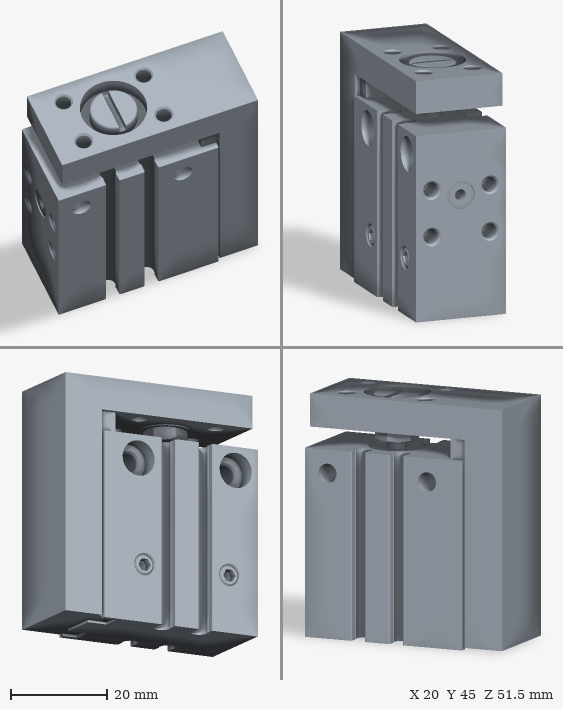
import cadquery as cq
import math


housing_width = 20.0
housing_depth = 36.0
housing_height = 40.0

table_width = 19.2
table_front_y = 1.0
table_back_y = 45.0
table_bottom_z = 0.5
table_top_z = 51.5
plate_thickness = 7.0
plate_bottom_z = table_top_z - plate_thickness
leg_inner_y = 36.4

carriage_width = 17.05
carriage_front_y = 32.7
rail_width = 8.85
rail_back_y = 37.05

rod_y = 16.5
rod_diameter = 4.0
rod_bottom_z = 20.0
rod_recess_diameter = 12.0
rod_recess_depth = 0.25
rod_entry_into_bushing = 3.0
nut_bottom_z = 41.45
nut_across_flats = 8.05
nut_bevel_radial = 0.7
nut_bevel_height = 0.3
bushing_diameter = 10.0
bushing_bottom_z = 44.3
bushing_top_drop = 0.25
bushing_edge_radius = 0.5
bushing_slot_width = 1.5
bushing_slot_depth = 1.6
bushing_recess_diameter = 14.0
bushing_recess_depth = 3.5

tapped_diameter = 3.25
tapped_mouth_diameter = 4.0
front_tapped_depth = 6.0
drill_tip_angle = 118.0
row_spacing = 10.0
front_hole_x = 6.5
front_hole_low_z = 18.0
plate_hole_x = 5.45
plate_hole_spacing_y = 18.0

breather_z = 26.4
breather_diameter = 2.35
breather_recess_diameter = 6.0
breather_recess_depth = 0.3

mount_hole_ys = (5.2, 28.0)
mount_hole_z = 34.95
mount_counterbore_diameter = 7.5
mount_counterbore_depth = 4.4
mount_mouth_diameter = 5.0
mount_hole_diameter = 4.1

port_ys = (6.6, 26.5)
port_z = 12.35
port_diameter = 4.4
port_mouth_diameter = 5.0
plug_length = 4.3
plug_face_drop = 0.15
plug_edge_bevel = 0.35
socket_across_flats = 2.5
socket_depth = 2.0
socket_tip_diameter = 2.35

groove_ys = (12.2, 20.9)
groove_mouth_width = 3.4
groove_slot_width = 3.0
groove_neck_width = 2.7
groove_neck_depth = 1.75
groove_bore_diameter = 3.4
groove_bore_inset = 2.9


def box_between(x_min, x_max, y_min, y_max, z_min, z_max):
    """Rectangular block given by its limits along each axis."""
    size = (x_max - x_min, y_max - y_min, z_max - z_min)
    return cq.Workplane("XY").box(*size, centered=False).translate((x_min, y_min, z_min))


def drill(start, direction, diameter, depth):
    """Cylinder that starts at a point and runs along a direction."""
    return cq.Workplane(cq.Solid.makeCylinder(diameter / 2, depth, cq.Vector(*start), cq.Vector(*direction)))


def countersink(start, direction, mouth_diameter, end_diameter, angle=90.0):
    """Cone that narrows from its mouth to its end, with the given full angle."""
    height = (mouth_diameter - end_diameter) / 2 / math.tan(math.radians(angle / 2))
    cone = cq.Solid.makeCone(
        mouth_diameter / 2, end_diameter / 2, height, cq.Vector(*start), cq.Vector(*direction)
    )
    return cq.Workplane(cone)


def front_tapped_hole(x, z):
    """Blind hole in the front face with a chamfered mouth and a drill-point bottom."""
    inward = (0, 1, 0)
    bore = drill((x, 0, z), inward, tapped_diameter, front_tapped_depth)
    mouth = countersink((x, 0, z), inward, tapped_mouth_diameter, tapped_diameter)
    tip = countersink((x, front_tapped_depth, z), inward, tapped_diameter, 0, drill_tip_angle)
    return bore.union(mouth).union(tip)


def mounting_hole(y):
    """Counterbored hole across the full width."""
    side_x = -housing_width / 2
    floor = (side_x + mount_counterbore_depth, y, mount_hole_z)
    across = (1, 0, 0)
    through = drill((side_x, y, mount_hole_z), across, mount_hole_diameter, housing_width)
    counterbore = drill((side_x, y, mount_hole_z), across, mount_counterbore_diameter, mount_counterbore_depth)
    mouth = countersink(floor, across, mount_mouth_diameter, mount_hole_diameter)
    return through.union(counterbore).union(mouth)


def port(y):
    """Side port that a plug fills, with a chamfered mouth."""
    start = (-housing_width / 2, y, port_z)
    inward = (1, 0, 0)
    bore = drill(start, inward, port_diameter, plug_face_drop + plug_length)
    return bore.union(countersink(start, inward, port_mouth_diameter, port_diameter))


def sensor_groove(side, y):
    """Round groove along Z that opens to one side through a slot with a bevelled mouth and neck."""
    mouth_bevel = (groove_mouth_width - groove_slot_width) / 2
    neck_bevel = (groove_slot_width - groove_neck_width) / 2
    half_outline = [
        (0, groove_mouth_width / 2),
        (mouth_bevel, groove_slot_width / 2),
        (groove_neck_depth, groove_slot_width / 2),
        (groove_neck_depth + neck_bevel, groove_neck_width / 2),
        (groove_bore_inset, groove_neck_width / 2),
    ]
    outline = half_outline + [(depth, -half_width) for depth, half_width in reversed(half_outline)]
    face_x = side * housing_width / 2
    points = [(face_x - side * depth, y + offset) for depth, offset in outline]
    slot = cq.Workplane("XY").polyline(points).close().extrude(housing_height)
    bore_x = face_x - side * groove_bore_inset
    return slot.union(drill((bore_x, y, 0), (0, 0, 1), groove_bore_diameter, housing_height))


def make_housing():
    half_width = housing_width / 2
    half_channel = carriage_width / 2
    body = box_between(-half_width, half_width, 0, housing_depth, 0, housing_height)
    body = body.cut(box_between(-half_channel, half_channel, carriage_front_y, housing_depth, 0, housing_height))
    body = body.cut(drill((0, rod_y, rod_bottom_z), (0, 0, 1), rod_diameter, housing_height - rod_bottom_z))
    body = body.cut(drill((0, rod_y, housing_height), (0, 0, -1), rod_recess_diameter, rod_recess_depth))
    for side in (-1, 1):
        for y in groove_ys:
            body = body.cut(sensor_groove(side, y))
        for z in (front_hole_low_z, front_hole_low_z + row_spacing):
            body = body.cut(front_tapped_hole(side * front_hole_x, z))
    for y in mount_hole_ys:
        body = body.cut(mounting_hole(y))
    for y in port_ys:
        body = body.cut(port(y))
    body = body.cut(drill((0, 0, breather_z), (0, 1, 0), breather_recess_diameter, breather_recess_depth))
    return body.cut(drill((0, 0, breather_z), (0, 1, 0), breather_diameter, rod_y))


def make_table():
    half_width = table_width / 2
    half_carriage = carriage_width / 2
    plate = box_between(-half_width, half_width, table_front_y, table_back_y, plate_bottom_z, table_top_z)
    leg = box_between(-half_width, half_width, leg_inner_y, table_back_y, table_bottom_z, table_top_z)
    carriage = box_between(
        -half_carriage, half_carriage, carriage_front_y, leg_inner_y, table_bottom_z, plate_bottom_z
    )
    half_rail = rail_width / 2
    rail_groove = box_between(
        -half_rail, half_rail, carriage_front_y, rail_back_y, table_bottom_z, plate_bottom_z
    )
    body = plate.union(leg).union(carriage).cut(rail_groove)
    down = (0, 0, -1)
    for x in (-plate_hole_x, plate_hole_x):
        for y in (rod_y - plate_hole_spacing_y / 2, rod_y + plate_hole_spacing_y / 2):
            body = body.cut(drill((x, y, table_top_z), down, tapped_diameter, plate_thickness))
            body = body.cut(countersink((x, y, table_top_z), down, tapped_mouth_diameter, tapped_diameter))
    body = body.cut(drill((0, rod_y, table_top_z), down, bushing_diameter, plate_thickness))
    return body.cut(drill((0, rod_y, table_top_z), down, bushing_recess_diameter, bushing_recess_depth))


def make_rail():
    half_rail = rail_width / 2
    return box_between(-half_rail, half_rail, carriage_front_y, rail_back_y, 0, housing_height)


def make_rod():
    top_z = bushing_bottom_z + rod_entry_into_bushing
    return drill((0, rod_y, rod_bottom_z), (0, 0, 1), rod_diameter, top_z - rod_bottom_z)


def make_nut(rod):
    height = bushing_bottom_z - nut_bottom_z
    across_corners = nut_across_flats / math.cos(math.radians(30))
    at_nut = cq.Workplane("XY").workplane(offset=nut_bottom_z).center(0, rod_y)
    hexagon = at_nut.polygon(6, across_corners).extrude(height)
    bevelled = at_nut.circle(across_corners / 2).extrude(height)
    bevelled = bevelled.faces("<Z or >Z").chamfer(nut_bevel_height, nut_bevel_radial)
    return hexagon.intersect(bevelled).cut(rod)


def make_bushing(rod):
    top_z = table_top_z - bushing_top_drop
    up = (0, 0, 1)
    body = drill((0, rod_y, bushing_bottom_z), up, bushing_diameter, top_z - bushing_bottom_z)
    body = body.faces(">Z").edges().fillet(bushing_edge_radius)
    radius = bushing_diameter / 2
    half_slot = bushing_slot_width / 2
    slot = box_between(-radius, radius, rod_y - half_slot, rod_y + half_slot, top_z - bushing_slot_depth, top_z)
    return body.cut(slot).cut(rod)


def make_plug(y):
    """Set screw, just below the side face, with a bevelled rim and a hexagon socket."""
    face = (-housing_width / 2 + plug_face_drop, y, port_z)
    inward = (1, 0, 0)
    body = drill(face, inward, port_diameter, plug_length).faces("<X").chamfer(plug_edge_bevel)
    across_corners = socket_across_flats / math.cos(math.radians(30))
    socket = cq.Workplane("YZ", origin=face).polygon(6, across_corners).extrude(socket_depth)
    socket_floor = (face[0] + socket_depth, y, port_z)
    tip = countersink(socket_floor, inward, socket_tip_diameter, 0, drill_tip_angle)
    return body.cut(socket).cut(tip)


housing = make_housing()
rail = make_rail()
table = make_table()
rod = make_rod()
nut = make_nut(rod)
bushing = make_bushing(rod)
plugs = [make_plug(y) for y in port_ys]

result = cq.Compound.makeCompound(
    [
        housing.val(),
        rail.val(),
        table.val(),
        rod.val(),
        nut.val(),
        bushing.val(),
        *[plug.val() for plug in plugs],
    ]
)